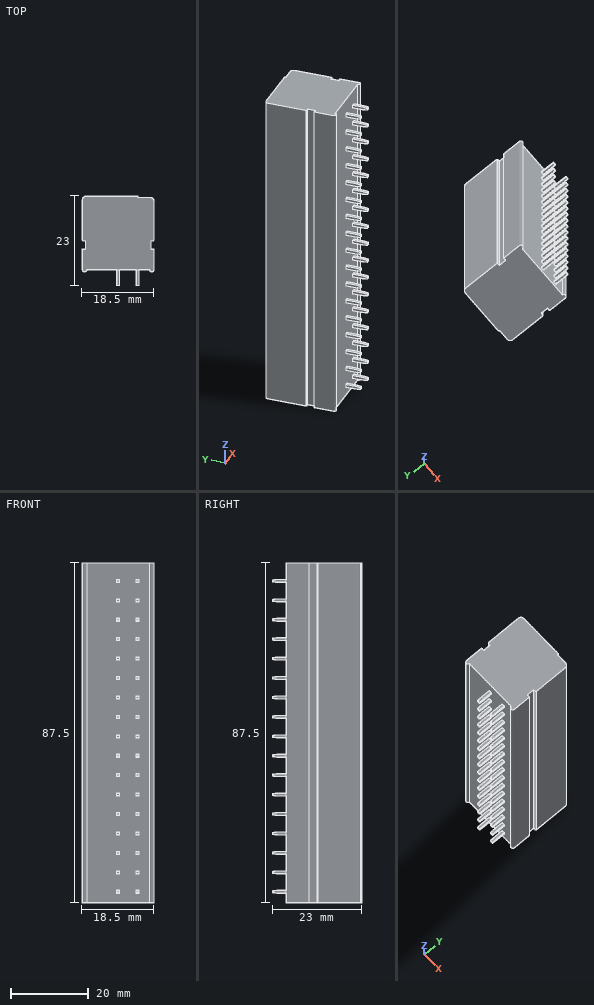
import cadquery as cq
import math

width = 18.5
length = 87.5
overall_depth = 23.0
depth = 19.5
back_corner_radius = 1.0
back_step_depth = 0.3
back_step_x = 5.1

rib_radius = 0.6
rib_height = 0.55

groove_width = 2.1
groove_depth = 0.8
groove_center_y = 6.9
groove_mouth_chamfer = 0.2

pin_columns_x = (0, 5.0)
pin_rows = 17
pin_pitch = 5.0
pin_end_margin = 2.85
first_pin_z = -length / 2 + pin_end_margin
pin_size = 0.8
pin_reach = overall_depth - depth
pin_embed = 1.0
tip_length = 1.2
tip_size = 0.5

half_width = width / 2


def rib_arc_point(side, angle):
    """Point on a rib's circle, with the angle in radians measured from -Y toward the outer side."""
    center_x = half_width - rib_radius
    x = center_x + rib_radius * math.sin(angle)
    y = rib_radius - rib_radius * math.cos(angle)
    return side * x, y


def back_corner_point(side, back_y, angle):
    """Point on a rounded back corner, with the angle in radians measured from +Y outward."""
    x = half_width - back_corner_radius + back_corner_radius * math.sin(angle)
    y = back_y - back_corner_radius + back_corner_radius * math.cos(angle)
    return side * x, y


def make_housing():
    """Section with a rounded rib at each front corner and a stepped, rounded back."""
    quarter = math.pi / 2
    rib_root = -math.acos((rib_radius - rib_height) / rib_radius)
    step_y = depth - back_step_depth
    return (
        cq.Workplane("XY", origin=(0, 0, -length / 2))
        .moveTo(*rib_arc_point(-1, rib_root))
        .lineTo(*rib_arc_point(1, rib_root))
        .threePointArc(rib_arc_point(1, 0), rib_arc_point(1, quarter))
        .lineTo(*back_corner_point(1, step_y, quarter))
        .threePointArc(back_corner_point(1, step_y, quarter / 2), back_corner_point(1, step_y, 0))
        .lineTo(back_step_x, step_y)
        .lineTo(back_step_x, depth)
        .lineTo(*back_corner_point(-1, depth, 0))
        .threePointArc(back_corner_point(-1, depth, quarter / 2), back_corner_point(-1, depth, quarter))
        .lineTo(*rib_arc_point(-1, quarter))
        .threePointArc(rib_arc_point(-1, 0), rib_arc_point(-1, rib_root))
        .close()
        .extrude(length)
    )


def make_groove(side):
    """Cutter for the lengthwise groove in one side, flared toward the back at its mouth."""
    mouth_x = side * half_width
    flare_x = side * (half_width - groove_mouth_chamfer)
    floor_x = side * (half_width - groove_depth)
    half_groove = groove_width / 2
    return (
        cq.Workplane("XY", origin=(0, groove_center_y, -length / 2))
        .moveTo(mouth_x, -half_groove)
        .lineTo(floor_x, -half_groove)
        .lineTo(floor_x, half_groove)
        .lineTo(flare_x, half_groove)
        .lineTo(mouth_x, half_groove + groove_mouth_chamfer)
        .close()
        .extrude(length)
    )


def make_pin(x, z):
    """Pin pointing toward -Y with a tip tapered in Z."""
    tip_y = -pin_reach
    shoulder_y = tip_y + tip_length
    root_y = rib_height + pin_embed
    return (
        cq.Workplane("YZ", origin=(x - pin_size / 2, 0, z))
        .moveTo(root_y, -pin_size / 2)
        .lineTo(shoulder_y, -pin_size / 2)
        .lineTo(tip_y, -tip_size / 2)
        .lineTo(tip_y, tip_size / 2)
        .lineTo(shoulder_y, pin_size / 2)
        .lineTo(root_y, pin_size / 2)
        .close()
        .extrude(pin_size)
    )


result = make_housing()
for side in (-1, 1):
    result = result.cut(make_groove(side))
for x in pin_columns_x:
    for row in range(pin_rows):
        result = result.union(make_pin(x, first_pin_z + row * pin_pitch))